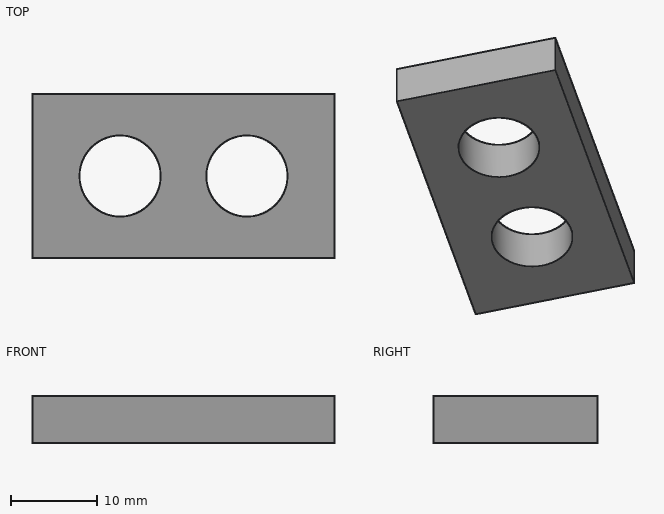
import cadquery as cq

length = 35.05
width = 19.05
thickness = 5.5

hole_diameter = 9.4
hole_spacing = 14.72

plate = cq.Workplane("XY").box(length, width, thickness)

hole_centers = [(-hole_spacing / 2, 0), (hole_spacing / 2, 0)]
result = plate.faces(">Z").workplane().pushPoints(hole_centers).hole(hole_diameter)